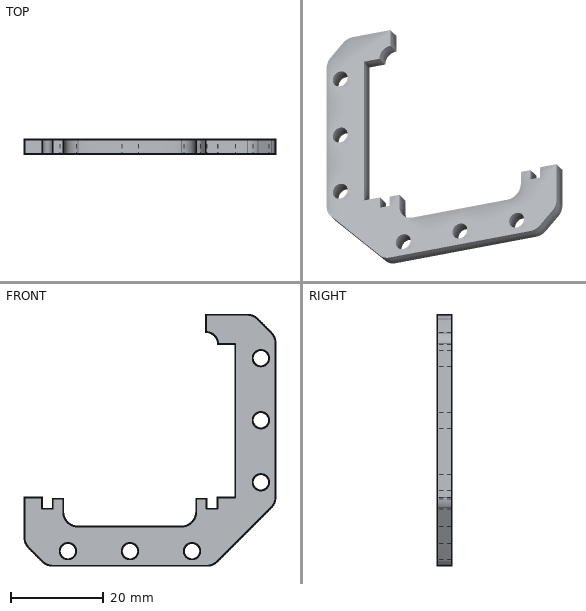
import cadquery as cq

SIZE = 54.48
THICKNESS = 3.175

END_CHAMFER = 4.85
ELBOW_CHAMFER = 13.6
CORNER_RADIUS = 3.175

SHOULDER_HEIGHT = 14.85
TAB_HEIGHT = 14.6
SLOT_FLOOR = 12.4
SLOT_WIDTH = 2.3
TAB_WIDTH = 2.3
POST_WIDTH = 3.85
WEB_TOP = 8.55
POCKET_RADIUS = 3.175

UPRIGHT_WIDTH = 8.8
LEDGE_WIDTH = 3.85
HOOK_LENGTH = 15.1
HOOK_HEIGHT = 6.4
HOOK_NOTCH_RADIUS = 2.6

HOLE_DIAMETER = 3.5
HOLE_EDGE_DISTANCE = 3.2
HOLE_END_DISTANCE = 9.45
HOLE_PITCH = 13.45
HOLES_PER_LEG = 3

UPRIGHT_INNER_X = SIZE - UPRIGHT_WIDTH
HOOK_TIP_X = SIZE - HOOK_LENGTH
HOOK_BOTTOM_Z = SIZE - HOOK_HEIGHT
LEFT_SLOT_END = POST_WIDTH + SLOT_WIDTH
POCKET_LEFT = LEFT_SLOT_END + TAB_WIDTH
RIGHT_SLOT_END = UPRIGHT_INNER_X - LEDGE_WIDTH
RIGHT_SLOT_START = RIGHT_SLOT_END - SLOT_WIDTH
POCKET_RIGHT = RIGHT_SLOT_START - TAB_WIDTH


def extrude_along_y(profile):
    """Extrude an XZ profile from Y = 0 towards +Y."""
    return profile.extrude(-THICKNESS)


def round_upright_edges(body, points, radius):
    """Fillet the through-thickness edges passing through the given (x, z) points."""
    for x, z in points:
        edge = cq.selectors.NearestToPointSelector((x, THICKNESS / 2, z))
        body = body.edges("|Y").edges(edge).fillet(radius)
    return body


def bracket_body():
    """L-shaped plate with bevelled corners, tabs, slots and the hook."""
    outer_corners = [
        (0, END_CHAMFER),
        (END_CHAMFER, 0),
        (SIZE - ELBOW_CHAMFER, 0),
        (SIZE, ELBOW_CHAMFER),
        (SIZE, SIZE - END_CHAMFER),
        (SIZE - END_CHAMFER, SIZE),
    ]
    hook = [
        (HOOK_TIP_X, SIZE),
        (HOOK_TIP_X, HOOK_BOTTOM_Z),
        (UPRIGHT_INNER_X, HOOK_BOTTOM_Z),
    ]
    elbow_slot = [
        (UPRIGHT_INNER_X, SHOULDER_HEIGHT),
        (RIGHT_SLOT_END, SHOULDER_HEIGHT),
        (RIGHT_SLOT_END, SLOT_FLOOR),
        (RIGHT_SLOT_START, SLOT_FLOOR),
        (RIGHT_SLOT_START, TAB_HEIGHT),
        (POCKET_RIGHT, TAB_HEIGHT),
    ]
    pocket_corners = [
        (POCKET_RIGHT, WEB_TOP),
        (POCKET_LEFT, WEB_TOP),
    ]
    end_slot = [
        (POCKET_LEFT, TAB_HEIGHT),
        (LEFT_SLOT_END, TAB_HEIGHT),
        (LEFT_SLOT_END, SLOT_FLOOR),
        (POST_WIDTH, SLOT_FLOOR),
        (POST_WIDTH, SHOULDER_HEIGHT),
        (0, SHOULDER_HEIGHT),
    ]
    outline = outer_corners + hook + elbow_slot + pocket_corners + end_slot
    body = extrude_along_y(cq.Workplane("XZ").polyline(outline).close())
    body = round_upright_edges(body, outer_corners, CORNER_RADIUS)
    return round_upright_edges(body, pocket_corners, POCKET_RADIUS)


def hook_notch():
    """Round cutter for the lower corner of the hook tip."""
    center = (HOOK_TIP_X, HOOK_BOTTOM_Z)
    return extrude_along_y(cq.Workplane("XZ").center(*center).circle(HOOK_NOTCH_RADIUS))


def screw_holes():
    """Through-hole cutters, one row along each leg, spaced from its free end."""
    centers = []
    for index in range(HOLES_PER_LEG):
        from_end = HOLE_END_DISTANCE + index * HOLE_PITCH
        centers.append((from_end, HOLE_EDGE_DISTANCE))
        centers.append((SIZE - HOLE_EDGE_DISTANCE, SIZE - from_end))
    return extrude_along_y(cq.Workplane("XZ").pushPoints(centers).circle(HOLE_DIAMETER / 2))


result = bracket_body().cut(hook_notch()).cut(screw_holes())